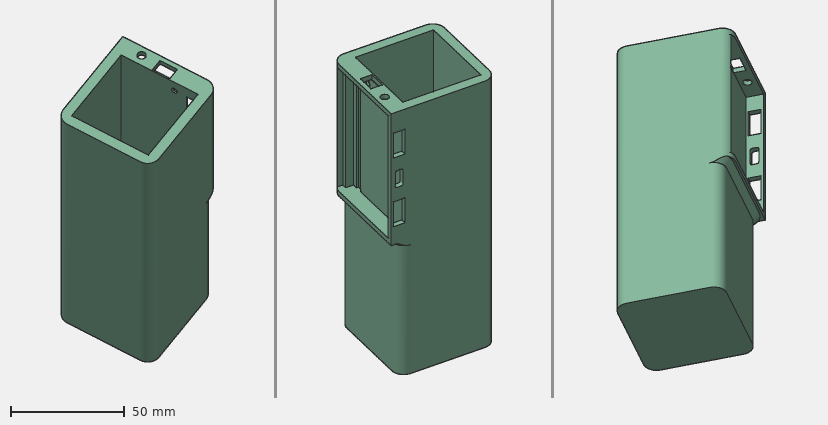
import cadquery as cq

width = 50.0
height = 143.0
wall = 5.0
corner_radius = 6.0
cavity_side = width - 2 * wall
cavity_back = width - wall

housing_depth = 4.0
housing_bottom = 72.2
housing_wall = 2.6
flare = 3.0
depth = width + housing_depth
partition = 1.0

usb_length = 13.3
usb_thickness = 5.9
usb_y = 49.9
usb_heights = (88.7, 125.5)
micro_length = 9.0
micro_thickness = 4.0
micro_radius = 1.0
micro_height = 107.0

switch_width = 9.0
switch_depth = 5.9
switch_center = (25.5, 48.8)
indicator_diameter = 4.0
indicator_center = (12.6, 49.8)

wire_hole_diameter = 2.9
wire_hole_x = 32.7
wire_hole_z = 136.9
slot_left = 39.0
slot_width = 3.5
slot_top = 136.9


def box(x, y, z, size_x, size_y, size_z):
    """Box placed by its lowest corner."""
    return cq.Workplane("XY").box(size_x, size_y, size_z, centered=False).translate((x, y, z))


def left_port(z, length, thickness):
    """Port cutter reaching through the left housing wall, centred at height z."""
    return box(0, usb_y - thickness / 2, z - length / 2, housing_wall, thickness, length)


body = box(0, 0, 0, width, width, height).edges("|Z").fillet(corner_radius)

upper_height = height - housing_bottom
upper = box(0, 0, housing_bottom, width, depth, upper_height)
upper = upper.edges("|Z and (<Y or >X)").fillet(corner_radius)

flare_bottom = housing_bottom - flare
transition = (
    body.faces("<Z").wires().toPending()
    .workplane(invert=True)
    .extrude(flare, taper=-45, combine=False)
    .translate((0, 0, flare_bottom))
)
trim = box(0, 0, flare_bottom, width, depth, flare)
trim = trim.edges("|Z and (<Y or >X)").fillet(corner_radius)
result = body.union(upper).union(transition.intersect(trim))

result = result.cut(box(wall, wall, wall, cavity_side, cavity_side, height - wall))

pocket_bottom = housing_bottom + housing_wall
pocket_height = height - housing_wall - pocket_bottom
pocket_front = cavity_back + partition
pocket_width = width - wall - housing_wall
pocket_depth = depth - pocket_front
recess_width = width - 2 * housing_wall
result = result.cut(
    box(housing_wall, pocket_front, pocket_bottom, pocket_width, pocket_depth, pocket_height)
)
result = result.cut(box(housing_wall, width, pocket_bottom, recess_width, housing_depth, pocket_height))

for usb_z in usb_heights:
    result = result.cut(left_port(usb_z, usb_length, usb_thickness))
micro_port = left_port(micro_height, micro_length, micro_thickness)
result = result.cut(micro_port.edges("|X").fillet(micro_radius))

top_wall = cq.Workplane("XY").workplane(offset=height - housing_wall)
switch = top_wall.moveTo(*switch_center).rect(switch_width, switch_depth).extrude(housing_wall)
indicator = top_wall.moveTo(*indicator_center).circle(indicator_diameter / 2).extrude(housing_wall)
result = result.cut(switch).cut(indicator)

wire_hole = (
    cq.Workplane("XZ", origin=(wire_hole_x, cavity_back, wire_hole_z))
    .circle(wire_hole_diameter / 2)
    .extrude(-partition)
)
result = result.cut(wire_hole)

slot_height = slot_top - pocket_bottom
slot = box(slot_left, cavity_back, pocket_bottom, slot_width, partition, slot_height)
result = result.cut(slot)